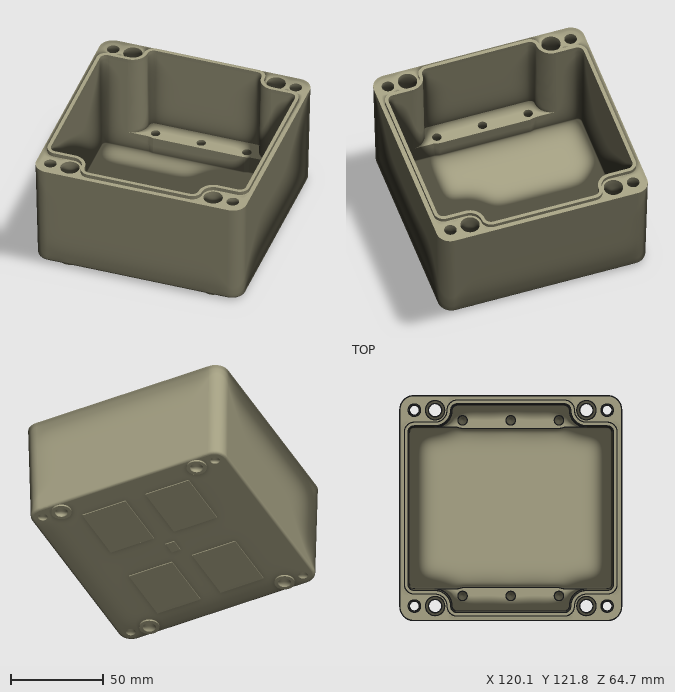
import cadquery as cq
import math

LENGTH_X = 120.1
LENGTH_Y = 121.8
HEIGHT = 64.7
HALF_X = LENGTH_X / 2
HALF_Y = LENGTH_Y / 2

FOOT_HEIGHT = 1.0
PAD_HEIGHT = 0.5
FLOOR_TOP = 4.9
LEDGE_TOP = 15.5
LIP_HEIGHT = 2.2
BASE = FOOT_HEIGHT
RIM = HEIGHT - LIP_HEIGHT

DRAFT_SLOPE = math.tan(math.radians(1))
BODY_CORNER_RADIUS = 7.7
BODY_BOTTOM_FILLET = 1.5
FLOOR_FILLET = 0.6

HOLE_Y = 53.0
SCREW_X = 52.1
SCREW_BORE_DIAMETER = 6.8
SCREW_HOLE_DIAMETER = 5.2
SCREW_BORE_DEPTH = 30.5
MOUNT_X = 40.9
MOUNT_BORE_DIAMETER = 10.5
MOUNT_HOLE_DIAMETER = 7.1
MOUNT_SEAT = 7.3
FOOT_DIAMETER = 11.0

LIP_STEP = 2.4
LIP_THICKNESS = 2.0
LIP_CORNER_RADIUS = HALF_Y - LIP_STEP - HOLE_Y
LIP_HOLE_CLEARANCE = 6.5

LEDGE_FRONT_Y = 43.0
LEDGE_BACK_Y = 44.0
LEDGE_FRONT_HALF_X = 26.0
LEDGE_BACK_HALF_X = 30.0
LEDGE_HOLE_SPACING = 26.1
LEDGE_HOLE_Y = 47.5
LEDGE_HOLE_DIAMETER = 5.1
LEDGE_HOLE_DEPTH = 9.1
DRILL_TIP_ANGLE = 118.0

PAD_INNER_X = 6.1
PAD_OUTER_X = 32.2
PAD_INNER_Y = 11.0
PAD_OUTER_Y = 45.3
CENTRE_PAD_X = 5.1
CENTRE_PAD_Y = 7.5

SIGNS = (1, -1)
QUADRANTS = [(sx, sy) for sx in SIGNS for sy in SIGNS]


def plane_at(z):
    return cq.Workplane("XY").workplane(offset=z)


def draft_inset(z):
    """How far a drafted wall has moved inwards at height z."""
    return (RIM - z) * DRAFT_SLOPE


def in_corners(x, y):
    """The point (x, y) repeated in all four quadrants."""
    return [(sx * x, sy * y) for sx, sy in QUADRANTS]


def rounded_wire(half_x, half_y, radius, z):
    prism = plane_at(z).rect(2 * half_x, 2 * half_y).extrude(1.2).edges("|Z").fillet(radius)
    return prism.faces("<Z").val().outerWire()


def opening_wire(inset, z):
    """Lip outline moved inwards by inset: a rectangle whose corners step around the holes."""
    side_x = HALF_X - LIP_STEP - inset
    end_y = HALF_Y - LIP_STEP - inset
    convex = LIP_CORNER_RADIUS - inset
    concave = LIP_HOLE_CLEARANCE + inset
    shoulder_y = HOLE_Y - concave
    neck_x = MOUNT_X - concave
    bulge = convex * math.sqrt(0.5)
    hollow = concave * math.sqrt(0.5)

    side_corner = (side_x - convex, shoulder_y - convex)
    end_corner = (neck_x - convex, HOLE_Y)
    quarter = (
        plane_at(z)
        .moveTo(side_x, 0)
        .lineTo(side_x, side_corner[1])
        .threePointArc((side_corner[0] + bulge, side_corner[1] + bulge), (side_corner[0], shoulder_y))
        .lineTo(MOUNT_X, shoulder_y)
        .threePointArc((MOUNT_X - hollow, HOLE_Y - hollow), (neck_x, HOLE_Y))
        .threePointArc((end_corner[0] + bulge, end_corner[1] + bulge), (end_corner[0], end_y))
        .lineTo(0, end_y)
    )
    return quarter.mirrorY().mirrorX().val()


def loft(lower, upper):
    return cq.Workplane(cq.Solid.makeLoft([lower, upper], True))


def prism(wire, height):
    return cq.Workplane(cq.Solid.extrudeLinear(wire, [], cq.Vector(0, 0, height)))


def make_body():
    inset = draft_inset(BASE)
    bottom = rounded_wire(HALF_X - inset, HALF_Y - inset, BODY_CORNER_RADIUS, BASE)
    top = rounded_wire(HALF_X, HALF_Y, BODY_CORNER_RADIUS, RIM)
    body = loft(bottom, top).faces("<Z").edges().fillet(BODY_BOTTOM_FILLET)
    return body.union(prism(opening_wire(0, RIM), LIP_HEIGHT))


def make_lower_well():
    """Drafted pocket between the ledges, with a rounded floor edge."""
    def outline(z):
        inset = LIP_THICKNESS + draft_inset(z)
        half_x = HALF_X - LIP_STEP - inset
        half_y = HOLE_Y - LIP_HOLE_CLEARANCE - inset
        return rounded_wire(half_x, half_y, LIP_CORNER_RADIUS - inset, z)

    well = loft(outline(FLOOR_TOP), outline(LEDGE_TOP))
    for side in SIGNS:
        ledge_nose = (
            plane_at(FLOOR_TOP)
            .polyline([
                (-LEDGE_FRONT_HALF_X, side * LEDGE_FRONT_Y),
                (LEDGE_FRONT_HALF_X, side * LEDGE_FRONT_Y),
                (LEDGE_BACK_HALF_X, side * LEDGE_BACK_Y),
                (-LEDGE_BACK_HALF_X, side * LEDGE_BACK_Y),
            ])
            .close()
            .extrude(LEDGE_TOP - FLOOR_TOP)
        )
        well = well.cut(ledge_nose)
    return well.faces("<Z").edges().fillet(FLOOR_FILLET)


def make_cavity():
    """Straight mouth, drafted well down to the ledges, then the narrower well to the floor."""
    mouth = prism(opening_wire(LIP_THICKNESS, RIM), LIP_HEIGHT)
    ledge_inset = LIP_THICKNESS + draft_inset(LEDGE_TOP)
    well = loft(opening_wire(ledge_inset, LEDGE_TOP), opening_wire(LIP_THICKNESS, RIM))
    return mouth.union(well).union(make_lower_well())


def make_feet_and_pads():
    feet = cq.Workplane("XY").pushPoints(in_corners(MOUNT_X, HOLE_Y))
    feet = feet.circle(FOOT_DIAMETER / 2).extrude(MOUNT_SEAT)
    pad_bottom = FOOT_HEIGHT - PAD_HEIGHT
    pad_centres = in_corners((PAD_INNER_X + PAD_OUTER_X) / 2, (PAD_INNER_Y + PAD_OUTER_Y) / 2)
    pads = plane_at(pad_bottom).pushPoints(pad_centres)
    pads = pads.rect(PAD_OUTER_X - PAD_INNER_X, PAD_OUTER_Y - PAD_INNER_Y).extrude(PAD_HEIGHT)
    centre_pad = plane_at(pad_bottom).rect(CENTRE_PAD_X, CENTRE_PAD_Y).extrude(PAD_HEIGHT)
    return feet.union(pads).union(centre_pad)


def stepped_holes(x, hole_diameter, bore_diameter, bore_bottom):
    """Through holes in the four corners, widened from the rim down to bore_bottom."""
    centres = in_corners(x, HOLE_Y)
    holes = cq.Workplane("XY").pushPoints(centres).circle(hole_diameter / 2).extrude(RIM)
    bores = plane_at(bore_bottom).pushPoints(centres).circle(bore_diameter / 2).extrude(RIM - bore_bottom)
    return holes.union(bores)


def make_ledge_holes():
    """Blind drilled holes with conical tips, three in each ledge."""
    radius = LEDGE_HOLE_DIAMETER / 2
    tip_depth = radius / math.tan(math.radians(DRILL_TIP_ANGLE / 2))
    drill = (
        cq.Workplane("XZ")
        .polyline([
            (0, 0),
            (radius, 0),
            (radius, -LEDGE_HOLE_DEPTH),
            (0, -LEDGE_HOLE_DEPTH - tip_depth),
        ])
        .close()
        .revolve(360, (0, 0), (0, 1))
        .val()
    )
    columns = (-LEDGE_HOLE_SPACING, 0, LEDGE_HOLE_SPACING)
    centres = [(x, side * LEDGE_HOLE_Y) for x in columns for side in SIGNS]
    return plane_at(LEDGE_TOP).pushPoints(centres).eachpoint(drill, combine=False)


enclosure = (
    make_body()
    .union(make_feet_and_pads())
    .cut(make_cavity())
    .cut(stepped_holes(SCREW_X, SCREW_HOLE_DIAMETER, SCREW_BORE_DIAMETER, RIM - SCREW_BORE_DEPTH))
    .cut(stepped_holes(MOUNT_X, MOUNT_HOLE_DIAMETER, MOUNT_BORE_DIAMETER, MOUNT_SEAT))
    .cut(make_ledge_holes())
)
result = cq.Workplane(enclosure.solids().val())